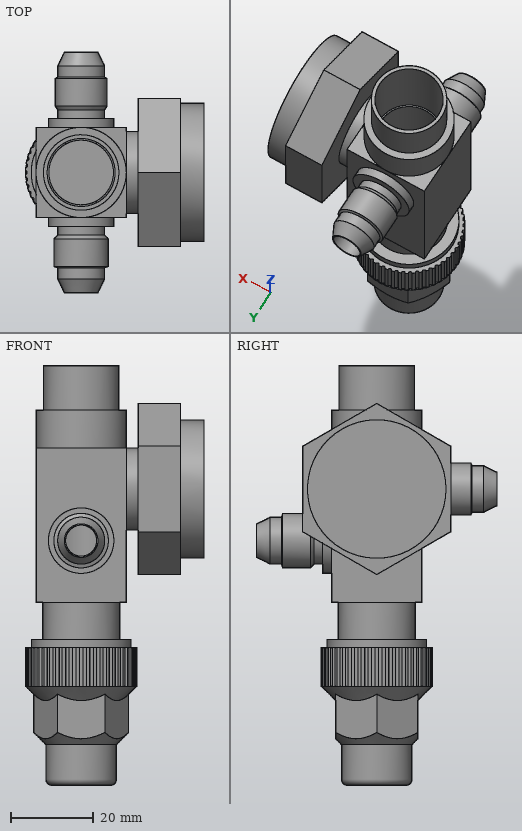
import cadquery as cq
import math

TOTAL_HEIGHT = 102.0
TAIL_TOP = 9.9
KNURL_BOTTOM = 24.1
KNURL_TOP = 33.5
CAP_RIM_TOP = 35.5
BODY_BOTTOM = 44.5
BODY_TOP = 82.0
SOCKET_COLLAR_TOP = 91.2

TAIL_RADIUS = 8.6
TAIL_ROUNDING = 1.4
STEM_RADIUS = 9.4
CAP_RIM_RADIUS = 12.1
BODY_WIDTH = 21.9
SOCKET_TUBE_RADIUS = 9.2
SOCKET_BORE_RADIUS = 8.3
MAIN_BORE_RADIUS = 7.9
MAIN_BORE_BOTTOM = 47.9

CAP_HEX_FLATS = 20.0
CAP_SHOULDER_RADIUS = 13.5
KNURL_RADIUS = 13.6
KNURL_GROOVE_RADIUS = 0.46
KNURL_GROOVES = 50

OVERALL_DEPTH = 58.4
PORT_BORE_RADIUS = 3.8
PORT_TIP_RADIUS = 4.1
PORT_NECK_RADIUS = 5.7
PORT_FLANGE_RADIUS = 8.0
FRONT_THREAD_RADIUS = 6.6
REAR_THREAD_RADIUS = 6.3
FRONT_PORT_HEIGHT = 59.5
REAR_PORT_HEIGHT = 72.0
PORT_REACH = OVERALL_DEPTH / 2

PORT_FLANGE_END = 13.2
PORT_NECK_END = 15.2
PORT_THREAD_START = 16.1
PORT_THREAD_END = 22.8
PORT_RELIEF_END = 23.2
PORT_NOSE_START = 25.9

GLASS_HEIGHT = REAR_PORT_HEIGHT
GLASS_NECK_RADIUS = 10.0
GLASS_HEX_FLATS = 36.0
GLASS_HEX_START = 13.9
GLASS_HEX_END = 24.2
GLASS_RING_RADIUS = 16.8
GLASS_RING_END = 29.9


def vertical_cylinder(radius, bottom, top):
    return cq.Workplane("XY").workplane(offset=bottom).circle(radius).extrude(top - bottom)


def x_cylinder(radius, start, end):
    plane = cq.Workplane("YZ", origin=(start, 0, GLASS_HEIGHT))
    return plane.circle(radius).extrude(end - start)


def corner_diameter(across_flats):
    return across_flats / math.cos(math.pi / 6)


def make_body():
    block = (
        cq.Workplane("XY")
        .workplane(offset=BODY_BOTTOM)
        .rect(BODY_WIDTH, BODY_WIDTH)
        .extrude(BODY_TOP - BODY_BOTTOM)
    )
    collar = vertical_cylinder(BODY_WIDTH / 2, BODY_TOP, SOCKET_COLLAR_TOP)
    tube = vertical_cylinder(SOCKET_TUBE_RADIUS, SOCKET_COLLAR_TOP, TOTAL_HEIGHT)
    stem = vertical_cylinder(STEM_RADIUS, CAP_RIM_TOP, BODY_BOTTOM)
    return block.union(collar).union(tube).union(stem)


def make_cap_hexagon():
    """Hexagon whose corners are trimmed by 45 degree cones at both ends."""
    hexagon = (
        cq.Workplane("XY")
        .workplane(offset=TAIL_TOP)
        .polygon(6, corner_diameter(CAP_HEX_FLATS))
        .extrude(KNURL_BOTTOM - TAIL_TOP)
    )
    lower_cone_height = KNURL_RADIUS - TAIL_RADIUS
    trim = (
        cq.Workplane("XZ")
        .moveTo(0, TAIL_TOP)
        .lineTo(TAIL_RADIUS, TAIL_TOP)
        .lineTo(KNURL_RADIUS, TAIL_TOP + lower_cone_height)
        .lineTo(KNURL_RADIUS, KNURL_BOTTOM)
        .lineTo(0, KNURL_BOTTOM)
        .close()
        .revolve(360, (0, 0), (0, 1))
    )
    return hexagon.intersect(trim)


def make_cap_shoulder():
    """45 degree cone joining the hexagon to the knurled grip."""
    inner_radius = CAP_HEX_FLATS / 2
    cone_bottom = KNURL_BOTTOM - (CAP_SHOULDER_RADIUS - inner_radius)
    return (
        cq.Workplane("XZ")
        .moveTo(0, KNURL_BOTTOM)
        .lineTo(CAP_SHOULDER_RADIUS, KNURL_BOTTOM)
        .lineTo(inner_radius, cone_bottom)
        .lineTo(0, cone_bottom)
        .close()
        .revolve(360, (0, 0), (0, 1))
    )


def make_knurl():
    """Grip with round vertical grooves, one of them centred on the -X side."""
    grip = vertical_cylinder(KNURL_RADIUS, KNURL_BOTTOM, KNURL_TOP)
    grooves = (
        cq.Workplane("XY")
        .workplane(offset=KNURL_BOTTOM)
        .polarArray(KNURL_RADIUS, 180, 360, KNURL_GROOVES)
        .circle(KNURL_GROOVE_RADIUS)
        .extrude(KNURL_TOP - KNURL_BOTTOM)
    )
    return grip.cut(grooves)


def make_cap():
    tail = vertical_cylinder(TAIL_RADIUS, 0, TAIL_TOP).faces("<Z").edges().fillet(TAIL_ROUNDING)
    rim = vertical_cylinder(CAP_RIM_RADIUS, KNURL_TOP, CAP_RIM_TOP)
    return make_cap_hexagon().union(make_cap_shoulder()).union(make_knurl()).union(tail).union(rim)


def make_port(thread_radius, height):
    """Flared connection pointing along +Y, starting at the valve axis."""
    profile = [
        (0, 0),
        (PORT_FLANGE_RADIUS, 0),
        (PORT_FLANGE_RADIUS, PORT_FLANGE_END),
        (PORT_NECK_RADIUS, PORT_FLANGE_END),
        (PORT_NECK_RADIUS, PORT_NECK_END),
        (thread_radius, PORT_THREAD_START),
        (thread_radius, PORT_THREAD_END),
        (PORT_NECK_RADIUS, PORT_RELIEF_END),
        (PORT_NECK_RADIUS, PORT_NOSE_START),
        (PORT_TIP_RADIUS, PORT_REACH),
        (0, PORT_REACH),
    ]
    port = cq.Workplane("XY").polyline(profile).close().revolve(360, (0, 0), (0, 1))
    return port.translate((0, 0, height))


def make_port_bore(height):
    """Bore pointing along +Y from the valve axis."""
    plane = cq.Workplane("XZ", origin=(0, 0, height))
    return plane.circle(PORT_BORE_RADIUS).extrude(-PORT_REACH)


def turn_to_front(shape):
    return shape.rotate((0, 0, 0), (0, 0, 1), 180)


def make_sight_glass():
    neck = x_cylinder(GLASS_NECK_RADIUS, BODY_WIDTH / 2, GLASS_HEX_START)
    hexagon = (
        cq.Workplane("YZ", origin=(GLASS_HEX_START, 0, GLASS_HEIGHT))
        .transformed(rotate=(0, 0, 90))
        .polygon(6, corner_diameter(GLASS_HEX_FLATS))
        .extrude(GLASS_HEX_END - GLASS_HEX_START)
    )
    ring = x_cylinder(GLASS_RING_RADIUS, GLASS_HEX_END, GLASS_RING_END)
    return neck.union(hexagon).union(ring)


result = make_body().union(make_cap()).union(make_sight_glass())
result = result.union(make_port(REAR_THREAD_RADIUS, REAR_PORT_HEIGHT))
result = result.union(turn_to_front(make_port(FRONT_THREAD_RADIUS, FRONT_PORT_HEIGHT)))

result = result.cut(vertical_cylinder(SOCKET_BORE_RADIUS, BODY_TOP, TOTAL_HEIGHT))
result = result.cut(vertical_cylinder(MAIN_BORE_RADIUS, MAIN_BORE_BOTTOM, BODY_TOP))
result = result.cut(make_port_bore(REAR_PORT_HEIGHT))
result = result.cut(turn_to_front(make_port_bore(FRONT_PORT_HEIGHT)))